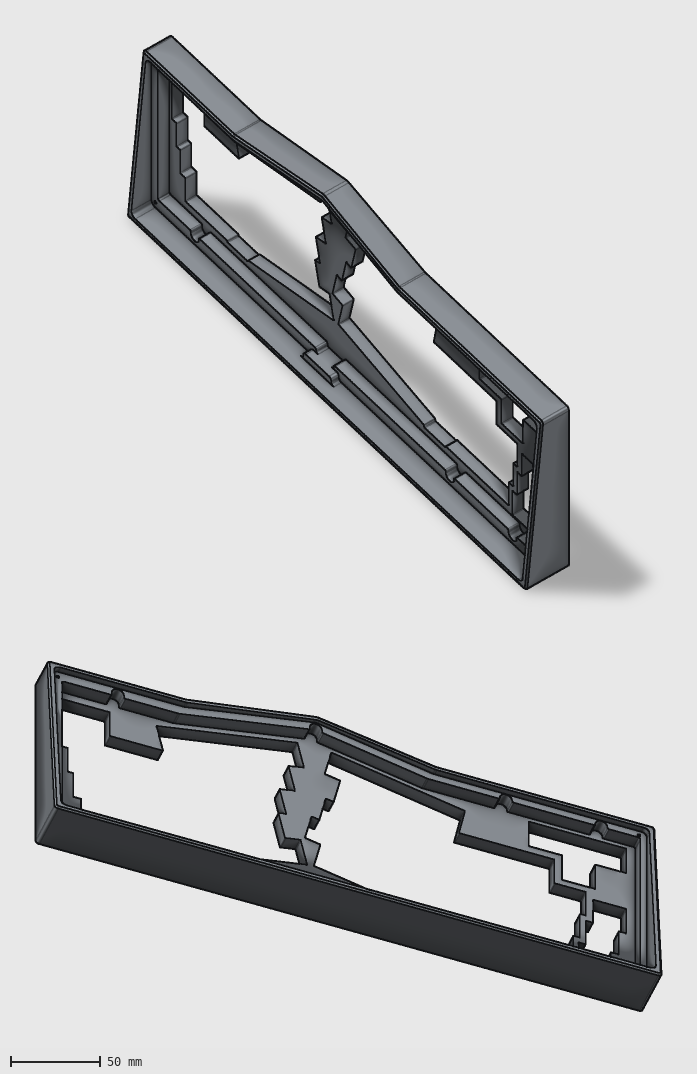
import cadquery as cq
import math


WIDTH = 365.0
HEIGHT = 145.5
DEPTH = 30.5
LEAN = math.tan(math.radians(5))
SPLIT_ANGLE = 12.0
TILT = math.tan(math.radians(SPLIT_ANGLE))
TILT_COS = math.cos(math.radians(SPLIT_ANGLE))
TILT_SIN = math.sin(math.radians(SPLIT_ANGLE))
CENTRE_X = 162.5
LEFT_TOP = 128.8
RIGHT_TOP = 130.5
CORNER_RADIUS = 2.2
BEND_RADIUS = 5.5
EDGE_CHAMFER = 1.0

WALL = 3.5
WALL_INNER_RADIUS = 3.5
LEDGE_DEPTH = 16.0
PLATE = 8.0
LEDGE_LEFT = 10.0
LEDGE_RIGHT = 357.2
LEDGE_BOTTOM = 12.0
LEDGE_LEFT_TOP = 118.5
LEDGE_RIGHT_TOP = 122.0
LEDGE_APEX = 136.0
LEDGE_RADIUS = 1.0

KEY = 19.05
OPENING_RADIUS = 0.5
ROW_1 = 18.0
ROW_2, ROW_3, ROW_4, ROW_5, ROW_6 = (ROW_1 + KEY * row for row in range(1, 6))
LONG_KEY_Z = 16.8
SPINE_LEFT = (154.5, 130.5)
SPINE_RIGHT = (174.8, 130.3)

PIN_HOLE = 1.6
PIN_DEPTH = 3.5
PIN_X = (7.3, 356.5)
PIN_LOW_Z = 7.5
PIN_TOP_Z = (121.0, 123.7)
RECESS_RADIUS = 3.5
RECESS_FLARE = 0.9
RECESS_CENTRES = (
    (43.5, 120.8), (CENTRE_X, 137.2), (276.5, 123.0), (334.0, 123.0),
    (43.5, 10.2), (276.5, 10.2), (334.0, 10.2),
)
BOSS_FRONT = 21.5
BOSS_TOP = 8.8
BOSS_HALF = 12.8
BOSS_RADIUS = 2.2
SLOT_HALF = 7.85
SLOT_RADIUS = 1.5


def prism(points, front, back=0.0):
    """Extrude an (x, z) outline from depth `back` to depth `front`, towards -Y."""
    return cq.Workplane("XZ", origin=(0, -back, 0)).polyline(points).close().extrude(front - back)


def frame_block(left, right, bottom, left_top, right_top, apex, corner_radius, front, back=0.0):
    """Block with square corners and a top that rises at the split angle to an apex."""
    outline = [
        (left, bottom),
        (right, bottom),
        (right, right_top),
        (CENTRE_X + (apex - right_top) / TILT, right_top),
        (CENTRE_X, apex),
        (CENTRE_X - (apex - left_top) / TILT, left_top),
        (left, left_top),
    ]
    block = prism(outline, front, back)
    block = block.edges("|Y").edges("<X or >X").fillet(corner_radius)
    centre_half = cq.selectors.BoxSelector((WIDTH / 6, -DEPTH, HEIGHT / 2), (WIDTH * 5 / 6, 0, HEIGHT + 3.5))
    return block.edges("|Y").edges(centre_half).fillet(BEND_RADIUS)


outer_apex = HEIGHT + BEND_RADIUS * (1 / TILT_COS - 1)
full_depth = DEPTH + EDGE_CHAMFER * LEAN
body = frame_block(0, WIDTH, 0, LEFT_TOP, RIGHT_TOP, outer_apex, CORNER_RADIUS, full_depth)
lean_profile = [(0, 0), (-full_depth, 0), (LEAN * outer_apex - full_depth, outer_apex), (0, outer_apex)]
body = body.intersect(cq.Workplane("YZ").polyline(lean_profile).close().extrude(WIDTH))
body = body.faces("<Y").edges().chamfer(EDGE_CHAMFER)

cavity = frame_block(
    WALL,
    WIDTH - WALL,
    WALL,
    LEFT_TOP - WALL,
    RIGHT_TOP - WALL,
    outer_apex - WALL / TILT_COS,
    WALL_INNER_RADIUS,
    DEPTH,
    LEDGE_DEPTH,
)
body = body.cut(cavity)


def mouth_edges(x, half_width, z):
    """Selector for the two corners where a notch meets the ledge edge."""
    reach = 0.55
    selector = None
    for corner in (x - half_width, x + half_width):
        near = cq.selectors.BoxSelector(
            (corner - reach, -LEDGE_DEPTH, z - reach), (corner + reach, -PLATE, z + reach)
        )
        selector = near if selector is None else selector + near
    return selector


def ledge_edge(x, z):
    """Height of the ledge edge beside a recess centred at (x, z)."""
    if z < HEIGHT / 2:
        return LEDGE_BOTTOM
    if x == CENTRE_X:
        return LEDGE_APEX - RECESS_RADIUS * TILT
    return LEDGE_LEFT_TOP if x < CENTRE_X else LEDGE_RIGHT_TOP


def add_recess(well, x, z):
    """Widen the well by a round-ended recess with flared mouth corners."""
    inward = RECESS_RADIUS if z < HEIGHT / 2 else -RECESS_RADIUS
    left, right = x - RECESS_RADIUS, x + RECESS_RADIUS
    recess = (
        cq.Workplane("XZ", origin=(0, -PLATE, 0))
        .moveTo(left, z + inward)
        .lineTo(left, z)
        .threePointArc((x, z - inward), (right, z))
        .lineTo(right, z + inward)
        .close()
        .extrude(LEDGE_DEPTH - PLATE)
    )
    well = well.union(recess)
    return well.edges("|Y").edges(mouth_edges(x, RECESS_RADIUS, ledge_edge(x, z))).fillet(RECESS_FLARE)


def add_boss_slot(well):
    """Widen the well by a flat-bottomed slot that ends level with the boss top."""
    left, right = CENTRE_X - SLOT_HALF, CENTRE_X + SLOT_HALF
    inside = LEDGE_BOTTOM + SLOT_RADIUS
    slot = prism(
        [(left, BOSS_TOP), (right, BOSS_TOP), (right, inside), (left, inside)], LEDGE_DEPTH, PLATE
    )
    well = well.union(slot)
    for level in (BOSS_TOP, LEDGE_BOTTOM):
        well = well.edges("|Y").edges(mouth_edges(CENTRE_X, SLOT_HALF, level)).fillet(SLOT_RADIUS)
    return well


well = frame_block(
    LEDGE_LEFT,
    LEDGE_RIGHT,
    LEDGE_BOTTOM,
    LEDGE_LEFT_TOP,
    LEDGE_RIGHT_TOP,
    LEDGE_APEX,
    LEDGE_RADIUS,
    LEDGE_DEPTH,
    PLATE,
)
for centre_x, centre_z in RECESS_CENTRES:
    well = add_recess(well, centre_x, centre_z)
body = body.cut(add_boss_slot(well))


def flared_boss():
    """Raised pad on the lower wall with rounded shoulders and flared feet."""
    shoulder = BOSS_TOP - BOSS_RADIUS
    foot = WALL + BOSS_RADIUS
    turn = BOSS_RADIUS * math.sqrt(0.5)
    half = BOSS_HALF
    flare = half + BOSS_RADIUS
    crown = half - BOSS_RADIUS
    return (
        cq.Workplane("XZ", origin=(CENTRE_X, -LEDGE_DEPTH, 0))
        .moveTo(-flare, WALL)
        .threePointArc((turn - flare, foot - turn), (-half, foot))
        .lineTo(-half, shoulder)
        .threePointArc((-crown - turn, shoulder + turn), (-crown, BOSS_TOP))
        .lineTo(crown, BOSS_TOP)
        .threePointArc((crown + turn, shoulder + turn), (half, shoulder))
        .lineTo(half, foot)
        .threePointArc((flare - turn, foot - turn), (flare, WALL))
        .close()
        .extrude(BOSS_FRONT - LEDGE_DEPTH)
    )


body = body.union(flared_boss())


def tilted_run(corner, side, key_steps):
    """Stepped run of points, in key pitches, on the left (-1) or right (1) tilted half."""
    points = []
    for across, up in key_steps:
        x = corner[0] + KEY * (across * TILT_COS + side * up * TILT_SIN)
        z = corner[1] + KEY * (up * TILT_COS - side * across * TILT_SIN)
        points.append((x, z))
    return points


def down_tilt(start, x):
    """Point at the given x on the tilted line that falls away from the spine from `start`."""
    return (x, start[1] - abs(x - start[0]) * TILT)


def cut_opening(plate, points):
    """Cut one opening with slightly rounded corners through the plate."""
    return plate.cut(prism(points, PLATE).edges("|Y").fillet(OPENING_RADIUS))


left_spine = tilted_run(
    SPINE_LEFT,
    -1,
    [
        (0, 0), (0, -1), (-0.5, -1), (-0.5, -2), (-1, -2),
        (-1, -3), (-1.25, -3), (-1.25, -4), (-0.75, -4), (-0.75, -5),
    ],
)
left_half = left_spine + [
    down_tilt(left_spine[-1], 82.0),
    (81.5, LONG_KEY_Z),
    (62.8, LONG_KEY_Z),
    (62.8, ROW_1),
    (24.5, ROW_1),
    (24.5, ROW_2),
    (19.7, ROW_2),
    (19.7, ROW_3),
    (16.5, ROW_3),
    (16.5, ROW_4),
    (12.0, ROW_4),
    (12.0, ROW_6),
    (41.5, ROW_6),
    (41.5, ROW_5),
    (73.7, ROW_5),
    down_tilt(left_spine[0], 69.7),
]

right_spine = tilted_run(
    SPINE_RIGHT,
    1,
    [
        (0, 0), (0, -1), (0.5, -1), (0.5, -2), (0.25, -2),
        (0.25, -3), (0, -3), (0, -4), (0.5, -4), (0.5, -5),
    ],
)
right_half = right_spine + [
    down_tilt(right_spine[-1], 242.3),
    (243.0, LONG_KEY_Z),
    (262.5, LONG_KEY_Z),
    (262.5, ROW_1),
    (320.0, ROW_1),
    (320.0, ROW_2),
    (324.0, ROW_2),
    (324.0, ROW_3),
    (327.5, ROW_3),
    (327.5, ROW_4),
    (308.7, ROW_4),
    (308.7, ROW_5),
    (251.5, ROW_5),
    down_tilt(right_spine[0], 255.0),
]

upper_cluster = [
    (293.5, 119.0),
    (351.7, 119.0),
    (351.7, 99.2),
    (333.0, 99.2),
    (333.0, 79.5),
    (313.5, 79.5),
    (313.5, 99.2),
    (293.5, 99.2),
]

lower_cluster = [
    (332.0, 70.5),
    (351.7, 70.5),
    (351.7, 50.7),
    (347.5, 50.7),
    (347.5, 32.0),
    (342.5, 32.0),
    (342.5, 13.0),
    (323.3, 13.0),
    (323.3, 33.0),
    (327.5, 33.0),
    (327.5, 51.8),
    (332.0, 51.8),
]

for outline in (left_half, right_half, upper_cluster, lower_cluster):
    body = cut_opening(body, outline)

for pin_x, top_z in zip(PIN_X, PIN_TOP_Z):
    for pin_z in (PIN_LOW_Z, top_z):
        ledge = cq.Workplane("XZ", origin=(pin_x, PIN_DEPTH - LEDGE_DEPTH, pin_z))
        body = body.cut(ledge.circle(PIN_HOLE / 2).extrude(PIN_DEPTH))

result = body